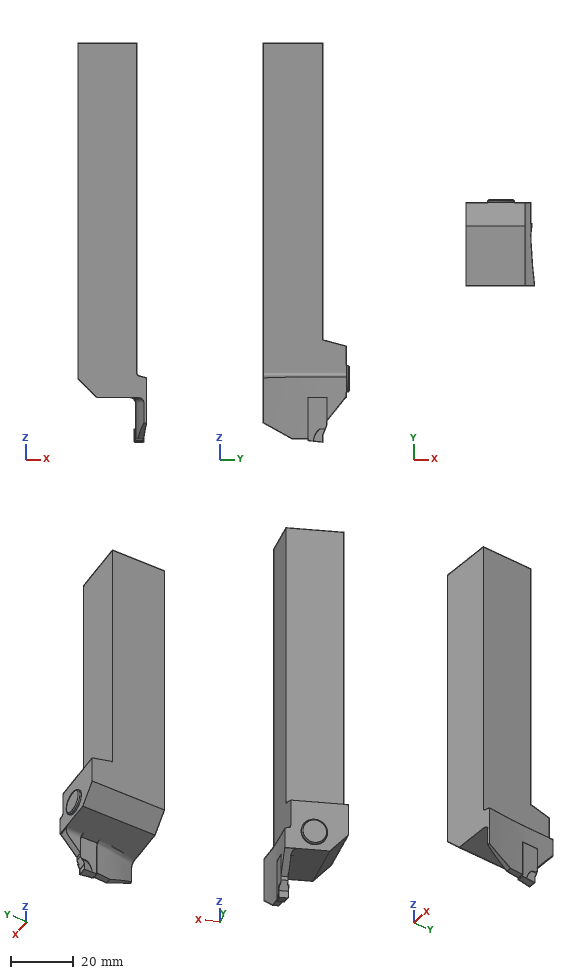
import cadquery as cq
import math


tool_length = 127.0
shank_height = 19.05
shank_width = 18.8
head_width = 21.95
head_depth = 26.5
side_lip_radius = 1.0
lip_angle = 15.0
side_lip_bottom_z = 20.5
back_lip_bottom_z = 30.6
shoulder_z = 14.2
corner_chamfer = 6.05

cutting_height = shank_height
blade_inner_x = 18.35
blade_outer_x = 20.7
inner_radius = 68.0
blade_root_radius = 1.75
blade_bottom_z = 1.1
blade_nose_y = 9.2
blade_nose_z = 6.2
jaw_root_y = 26.2
jaw_tip_z = 6.8

insert_bottom_y = 14.3
insert_height = 6.0
insert_heel_z = 0.5
rake_start_z = 5.5
rake_end_z = 2.3
cutter_width = 3.1
cutter_back_z = 4.2
cutter_heel_y = 16.0
cutter_knee_y = 18.0
cutter_knee_bulge = 0.4
tip_radius = 0.3

screw_diameter = 8.5
screw_top_y = 27.45
screw_x = 11.2
screw_z = 20.2
screw_chamfer = 0.4

insert_top_y = insert_bottom_y + insert_height
outer_bulge = head_width - blade_outer_x
outer_radius = (cutting_height**2 + outer_bulge**2) / (2 * outer_bulge)


def arc_x(face_x, radius, y):
    """X of a blade side at height y; the side is an arc about an axis on the +X side."""
    return face_x + radius - math.sqrt(radius**2 - (y - cutting_height)**2)


def box_between(x0, x1, y0, y1, z0, z1):
    return cq.Workplane("XY").box(x1 - x0, y1 - y0, z1 - z0, centered=False).translate((x0, y0, z0))


def make_side_profile():
    """Everything inside the outline seen along X: shank, head, jaw and blade."""
    slope = math.tan(math.radians(lip_angle))
    back_lip_top_z = back_lip_bottom_z + (head_depth - shank_height) * slope
    return (
        cq.Workplane("YZ")
        .moveTo(0, tool_length)
        .lineTo(shank_height, tool_length)
        .lineTo(shank_height, back_lip_top_z)
        .lineTo(head_depth, back_lip_bottom_z)
        .lineTo(head_depth, shoulder_z)
        .lineTo(jaw_root_y, shoulder_z)
        .lineTo(insert_top_y, jaw_tip_z)
        .lineTo(insert_top_y, blade_bottom_z)
        .lineTo(blade_nose_y, blade_bottom_z)
        .lineTo(0, blade_nose_z)
        .close()
        .extrude(head_width)
    )


def make_front_profile():
    """Shank and head outline seen along Y, with the blade zone left full below the shoulder."""
    side_lip_top_z = side_lip_bottom_z + (head_width - shank_width) * math.tan(math.radians(lip_angle))
    return (
        cq.Workplane("XZ")
        .moveTo(0, tool_length)
        .lineTo(shank_width, tool_length)
        .lineTo(shank_width, side_lip_top_z)
        .lineTo(head_width, side_lip_bottom_z)
        .lineTo(head_width, 0)
        .lineTo(corner_chamfer, 0)
        .lineTo(corner_chamfer, shoulder_z)
        .lineTo(0, shoulder_z + corner_chamfer)
        .close()
        .extrude(-head_depth)
        .edges(cq.selectors.NearestToPointSelector((shank_width, head_depth / 2, side_lip_top_z)))
        .fillet(side_lip_radius)
    )


def make_outer_limit():
    """Full-height block whose +X side is the curved outer side of the head and blade."""
    middle_y = cutting_height / 2
    return (
        cq.Workplane("XY")
        .lineTo(head_width, 0)
        .threePointArc((arc_x(blade_outer_x, outer_radius, middle_y), middle_y), (blade_outer_x, cutting_height))
        .lineTo(blade_outer_x, head_depth)
        .lineTo(0, head_depth)
        .close()
        .extrude(tool_length)
    )


def make_blade_clearance():
    """Space on the -X side of the blade, rounded where it meets the underside of the head."""
    middle_y = cutting_height / 2
    inner_start_x = arc_x(blade_inner_x, inner_radius, 0)
    clearance = (
        cq.Workplane("XY")
        .lineTo(inner_start_x, 0)
        .threePointArc((arc_x(blade_inner_x, inner_radius, middle_y), middle_y), (blade_inner_x, cutting_height))
        .lineTo(blade_inner_x, head_depth)
        .lineTo(0, head_depth)
        .close()
        .extrude(shoulder_z)
    )
    root_arc_point = (arc_x(blade_inner_x, inner_radius, middle_y), middle_y, shoulder_z)
    root_edge = cq.selectors.NearestToPointSelector(root_arc_point)
    return clearance.edges(root_edge).fillet(blade_root_radius)


def make_insert_pocket():
    """Slot across the blade for the insert, also cutting away the root round beside it."""
    return box_between(
        blade_inner_x - blade_root_radius, head_width, insert_bottom_y, insert_top_y, 0, shoulder_z
    )


def make_screw_head():
    seat = cq.Workplane("XZ", origin=(screw_x, head_depth, screw_z))
    return (
        seat.circle(screw_diameter / 2)
        .extrude(head_depth - screw_top_y)
        .faces(">Y")
        .chamfer(screw_chamfer)
    )


def make_holder():
    body = make_side_profile().intersect(make_front_profile()).intersect(make_outer_limit())
    body = body.cut(make_blade_clearance()).cut(make_insert_pocket())
    return body.union(make_screw_head())


def insert_plate(start_x, end_x):
    """Insert outline seen along X, extruded between two X positions."""
    return (
        cq.Workplane("YZ", origin=(start_x, 0, 0))
        .moveTo(insert_bottom_y, shoulder_z)
        .lineTo(insert_top_y, shoulder_z)
        .lineTo(insert_top_y, rake_start_z)
        .lineTo(cutting_height, rake_end_z)
        .lineTo(cutting_height, 0)
        .lineTo(insert_bottom_y, insert_heel_z)
        .close()
        .extrude(end_x - start_x)
    )


def make_cutting_head():
    """Wide end of the insert, tapering from the cutting edge to the bar width at its heel."""
    middle_x = (blade_inner_x + blade_outer_x) / 2
    start_x = middle_x - cutter_width / 2
    end_x = middle_x + cutter_width / 2
    side_shape = (
        cq.Workplane("YZ", origin=(start_x, 0, 0))
        .moveTo(insert_top_y, cutter_back_z)
        .lineTo(cutter_knee_y, cutter_back_z)
        .threePointArc(
            ((cutter_knee_y + cutter_heel_y) / 2 - cutter_knee_bulge, cutter_back_z / 2 + cutter_knee_bulge),
            (cutter_heel_y, 0),
        )
        .lineTo(insert_top_y, 0)
        .close()
        .extrude(cutter_width)
    )
    taper = (
        cq.Workplane("XY")
        .moveTo(start_x, insert_top_y)
        .lineTo(start_x, cutting_height)
        .lineTo(blade_inner_x, cutter_heel_y)
        .lineTo(blade_outer_x, cutter_heel_y)
        .lineTo(end_x, cutting_height)
        .lineTo(end_x, insert_top_y)
        .close()
        .extrude(cutter_back_z)
        .faces("<Z")
        .edges("not(|X)")
        .fillet(tip_radius)
    )
    return insert_plate(start_x, end_x).intersect(side_shape).intersect(taper)


def make_insert():
    """Bar-shaped insert with a sloped rake face and a slightly wider cutting head."""
    return insert_plate(blade_inner_x, blade_outer_x).union(make_cutting_head())


holder = make_holder()
insert = make_insert()
result = cq.Compound.makeCompound([holder.val(), insert.val()])